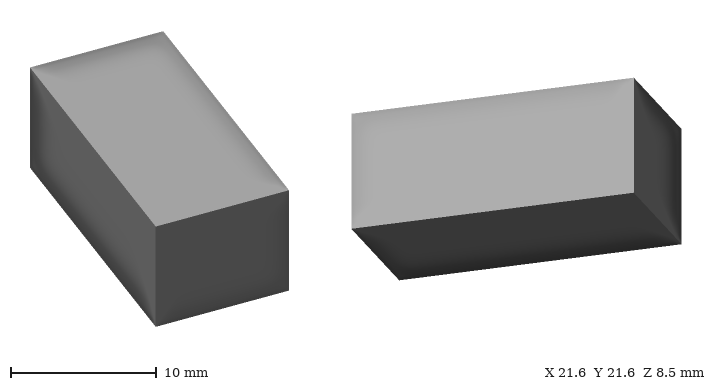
import cadquery as cq
import math

outer_span = 21.62
block_length = 20.5
block_height = 8.5
turn_angle = -45.0

block_width = outer_span * math.sqrt(2) - block_length

result = (
    cq.Workplane("XY")
    .box(block_length, block_width, block_height)
    .rotate((0, 0, 0), (0, 0, 1), turn_angle)
)